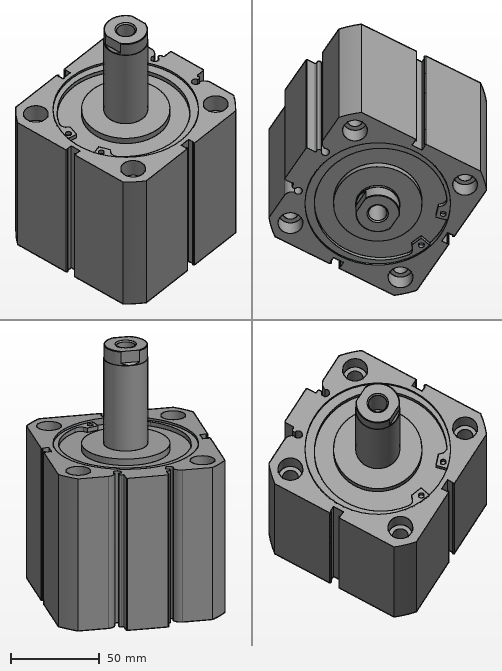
import cadquery as cq
import math


housing_height = 92.0
housing_width = 96.5
housing_half = housing_width / 2
corner_radius = 62.0
bore_radius = 41.0

mount_offset = 36.0
mount_hole_diameter = 8.9
counterbore_diameter = 14.0
counterbore_depth = 11.0

slot_depth = 4.5
slot_width = 6.5
slot_mouth_width = 5.2
slot_lip = 1.0
slot_mouth_chamfer = 0.5

rail_half_width = 12.3
rail_top = 53.8
rail_edge_chamfer = 0.5
rail_foot_radius = 0.6
bead_half_width = 14.9
bead_top = housing_half - rail_foot_radius
bead_bottom = 45.2
bead_upper_round = 1.1
bead_lower_round = 0.6
groove_x = 15.0
groove_y = 43.1
groove_radius = 2.3
shoulder_start_x = 16.8
shoulder_start_y = 44.4
shoulder_middle_x = 18.3
shoulder_middle_y = 46.8
shoulder_end_x = 21.4

ring_depth = 1.3
ring_thickness = 2.6
ring_inner_radius = 37.5
ring_inner_offset = 2.0
lug_reach = 34.0
lug_angle = 19.0
lug_end_angle = 13.8
lug_back_angle = 25.7
lug_neck_x = 16.8
lug_neck_y = -32.7
neck_arc_x = 19.3
neck_arc_y = -33.4
neck_end_x = 21.9
lug_hole_x = 12.2
lug_hole_y = -35.6
lug_hole_diameter = 3.2

cover_depth = ring_depth + ring_thickness
cover_thickness = 13.0
boss_radius = 25.0

rod_radius = 12.5
rod_top_reach = 60.0
rod_bottom_reach = 10.0
rod_top = housing_height + rod_top_reach
rod_bottom = -rod_bottom_reach
tip_radius = 12.3
tip_length = 8.5
tip_chamfer = 0.3
flat_half = 11.0
flat_slope = rod_radius - flat_half
flat_length = tip_length - flat_slope
thread_radius = 5.2
thread_mouth_radius = 6.0
thread_depth = 19.5
drill_point_angle = 118.0


def mirrored_to_bottom(body):
    """Copy a body from the upper end of the housing to the lower end."""
    return body.mirror("XY", (0, 0, housing_height / 2))


def housing_block():
    square = cq.Workplane("XY").rect(housing_width, housing_width).extrude(housing_height)
    return square.intersect(cq.Workplane("XY").circle(corner_radius).extrude(housing_height))


def sensor_slot(angle):
    """Undercut slot in the side that lies in the direction of angle."""
    inner_x = housing_half - slot_depth
    lip_x = housing_half - slot_lip
    wide_half = slot_width / 2
    mouth_half = slot_mouth_width / 2
    half_outline = [
        (inner_x, wide_half),
        (lip_x, wide_half),
        (lip_x, mouth_half),
        (housing_half - slot_mouth_chamfer, mouth_half),
        (housing_half, mouth_half + slot_mouth_chamfer),
    ]
    mirrored_half = [(x, -y) for x, y in reversed(half_outline)]
    outline = cq.Workplane("XY").polyline(half_outline + mirrored_half).close()
    return outline.extrude(housing_height).rotate((0, 0, 0), (0, 0, 1), angle)


def rail_groove(side):
    """Opening between the rail and the rounded shoulder of the housing."""
    upper_round_x = bead_half_width - bead_upper_round
    lower_round_x = bead_half_width - bead_lower_round
    opening = (
        cq.Workplane("XY")
        .moveTo(side * rail_half_width, rail_top)
        .lineTo(side * rail_half_width, bead_top + rail_foot_radius)
        .tangentArcPoint((side * (rail_half_width + rail_foot_radius), bead_top), relative=False)
        .lineTo(side * upper_round_x, bead_top)
        .tangentArcPoint((side * bead_half_width, bead_top - bead_upper_round), relative=False)
        .lineTo(side * bead_half_width, bead_bottom + bead_lower_round)
        .tangentArcPoint((side * lower_round_x, bead_bottom), relative=False)
        .lineTo(side * groove_x, groove_y)
        .lineTo(side * shoulder_start_x, shoulder_start_y)
        .threePointArc((side * shoulder_middle_x, shoulder_middle_y), (side * shoulder_end_x, housing_half))
        .lineTo(side * shoulder_end_x, rail_top)
        .close()
        .extrude(housing_height)
    )
    channel = cq.Workplane("XY").center(side * groove_x, groove_y).circle(groove_radius)
    return opening.union(channel.extrude(housing_height))


def rail():
    base_y = groove_y
    block = cq.Workplane("XY").rect(2 * rail_half_width, rail_top - base_y).extrude(housing_height)
    block = block.translate((0, (rail_top + base_y) / 2, 0))
    return block.edges("|Z and >Y").chamfer(rail_edge_chamfer)


def make_housing():
    body = housing_block().union(rail())
    for side in (-1, 1):
        body = body.cut(rail_groove(side))
    for angle in (0, 180, 270):
        body = body.cut(sensor_slot(angle))
    body = body.cut(cq.Workplane("XY").circle(bore_radius).extrude(housing_height))
    corners = [(x, y) for x in (-mount_offset, mount_offset) for y in (-mount_offset, mount_offset)]
    holes = cq.Workplane("XY").pushPoints(corners).circle(mount_hole_diameter / 2).extrude(housing_height)
    counterbores = (
        cq.Workplane("XY", origin=(0, 0, housing_height))
        .pushPoints(corners)
        .circle(counterbore_diameter / 2)
        .extrude(-counterbore_depth)
    )
    return body.cut(holes).cut(counterbores).cut(mirrored_to_bottom(counterbores))


def lug_edge_point(angle):
    """Point on the flat inner edge of a lug, at an angle from -Y."""
    distance = lug_reach / math.cos(math.radians(angle - lug_angle))
    return distance * math.sin(math.radians(angle)), -distance * math.cos(math.radians(angle))


def make_ring():
    """Retaining ring at the upper end, open at -Y between its two lugs."""
    end_x = bore_radius * math.sin(math.radians(lug_end_angle))
    end_y = -bore_radius * math.cos(math.radians(lug_end_angle))
    front_x, front_y = lug_edge_point(lug_end_angle)
    back_x, back_y = lug_edge_point(lug_back_angle)
    neck_end_y = -ring_inner_offset - math.sqrt(ring_inner_radius**2 - neck_end_x**2)
    ring_bottom = housing_height - cover_depth
    return (
        cq.Workplane("XY", origin=(0, 0, ring_bottom))
        .moveTo(end_x, end_y)
        .lineTo(front_x, front_y)
        .lineTo(back_x, back_y)
        .lineTo(lug_neck_x, lug_neck_y)
        .threePointArc((neck_arc_x, neck_arc_y), (neck_end_x, neck_end_y))
        .threePointArc((0, ring_inner_radius - ring_inner_offset), (-neck_end_x, neck_end_y))
        .threePointArc((-neck_arc_x, neck_arc_y), (-lug_neck_x, lug_neck_y))
        .lineTo(-back_x, back_y)
        .lineTo(-front_x, front_y)
        .lineTo(-end_x, end_y)
        .threePointArc((0, bore_radius), (end_x, end_y))
        .close()
        .pushPoints([(-lug_hole_x, lug_hole_y), (lug_hole_x, lug_hole_y)])
        .circle(lug_hole_diameter / 2)
        .extrude(ring_thickness)
    )


def make_cover():
    """Cover at the upper end; its boss ends flush with the housing."""
    face = housing_height - cover_depth
    plate = cq.Workplane("XY", origin=(0, 0, face)).circle(bore_radius).extrude(-cover_thickness)
    boss = cq.Workplane("XY", origin=(0, 0, face)).circle(boss_radius).extrude(cover_depth)
    rod_hole = cq.Workplane("XY").circle(rod_radius).extrude(housing_height)
    return plate.union(boss).cut(rod_hole)


def flat_cutter(end, inward, side):
    """Wrench flat on one side of a rod end; inward is the Z direction into the rod."""
    outer_y = 2 * rod_radius
    profile = [
        (side * flat_half, end),
        (side * flat_half, end + inward * flat_length),
        (side * outer_y, end + inward * (flat_length + outer_y - flat_half)),
        (side * outer_y, end),
    ]
    return cq.Workplane("YZ").polyline(profile).close().extrude(rod_radius, both=True)


def thread_hole(end, inward):
    """Hole in a rod end with a chamfered mouth and a conical drill point."""
    mouth_chamfer = thread_mouth_radius - thread_radius
    point_length = thread_radius / math.tan(math.radians(drill_point_angle / 2))
    profile = [
        (0, end),
        (thread_mouth_radius, end),
        (thread_radius, end + inward * mouth_chamfer),
        (thread_radius, end + inward * thread_depth),
        (0, end + inward * (thread_depth + point_length)),
    ]
    return cq.Workplane("XZ").polyline(profile).close().revolve(360, (0, 0, 0), (0, 1, 0))


def make_rod():
    half_profile = [
        (0, rod_bottom),
        (tip_radius - tip_chamfer, rod_bottom),
        (tip_radius, rod_bottom + tip_chamfer),
        (tip_radius, rod_bottom + tip_length),
        (rod_radius, rod_bottom + tip_length),
        (rod_radius, rod_top - tip_length),
        (tip_radius, rod_top - tip_length),
        (tip_radius, rod_top - tip_chamfer),
        (tip_radius - tip_chamfer, rod_top),
        (0, rod_top),
    ]
    body = cq.Workplane("XZ").polyline(half_profile).close().revolve(360, (0, 0, 0), (0, 1, 0))
    for end, inward in ((rod_top, -1), (rod_bottom, 1)):
        for side in (-1, 1):
            body = body.cut(flat_cutter(end, inward, side))
        body = body.cut(thread_hole(end, inward))
    return body


housing = make_housing()
rod = make_rod()
upper_cover = make_cover()
covers = [upper_cover, mirrored_to_bottom(upper_cover)]
upper_ring = make_ring()
rings = [upper_ring, mirrored_to_bottom(upper_ring)]

result = cq.Compound.makeCompound(
    [housing.val(), rod.val()] + [cover.val() for cover in covers] + [ring.val() for ring in rings]
)